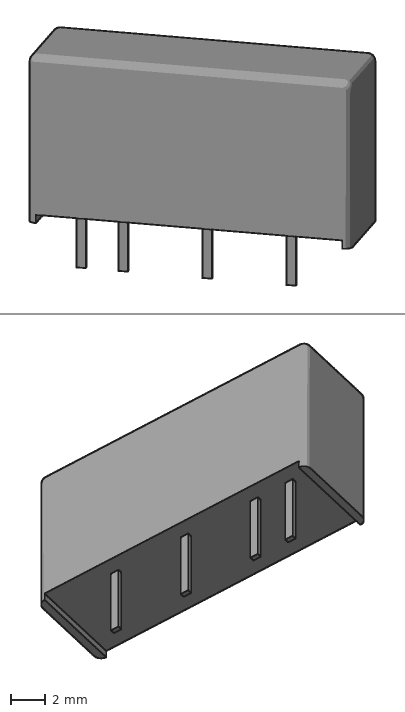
import cadquery as cq

length = 19.5
depth = 6.0
total_height = 14.35

housing_height = 10.25
edge_radius = 0.5
foot_thickness = edge_radius
foot_height = 0.5

pin_width = 0.55
pin_thickness = 0.3
pin_row_y = 1.87
pin_pitch = 2.54
first_pin_x = -7.8
pin_steps = [0, 1, 3, 5]

floor_z = foot_height
pin_tip_z = housing_height - total_height
pin_length = floor_z - pin_tip_z


def make_housing():
    """Block with rounded top and corners, standing on a foot at each end."""
    block = (
        cq.Workplane("XY")
        .box(length, depth, housing_height, centered=(True, True, False))
        .edges("|Z or >Z")
        .fillet(edge_radius)
    )
    channel = cq.Workplane("XY").box(
        length - 2 * foot_thickness, depth, foot_height, centered=(True, True, False)
    )
    return block.cut(channel)


def make_pin(x):
    """Flat rectangular pin hanging from the floor of the channel."""
    return (
        cq.Workplane("XY", origin=(x, pin_row_y, pin_tip_z))
        .rect(pin_width, pin_thickness)
        .extrude(pin_length)
    )


housing = make_housing()
pins = [make_pin(first_pin_x + step * pin_pitch) for step in pin_steps]

result = cq.Compound.makeCompound([housing.solids().val(), *[pin.val() for pin in pins]])